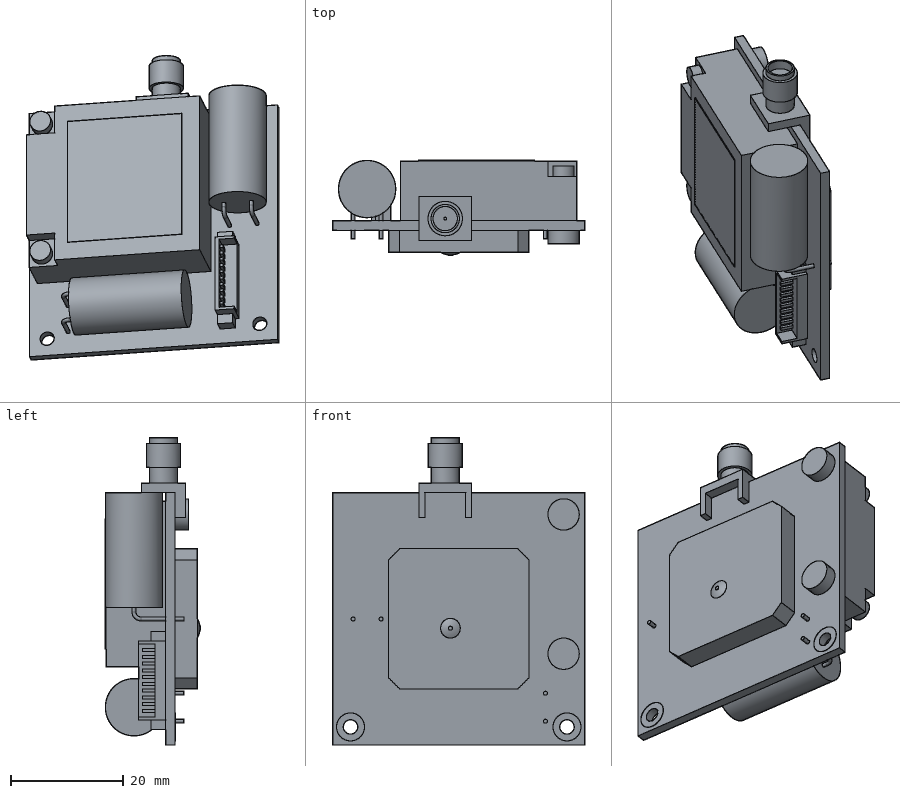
import cadquery as cq

BOARD_SIDE = 45.05
BOARD_THICKNESS = 1.7
HOLE_X = 19.3
HOLE_Z = 3.25
HOLE_DIAMETER = 2.5
PAD_DIAMETER = 5.0
PAD_HEIGHT = 0.05

ANTENNA_SIDE = 25.0
ANTENNA_THICKNESS = 3.95
ANTENNA_CORNER = 2.0
FEED_X = -1.5
FEED_Z = 20.85
SOLDER_DIAMETER = 3.5
SOLDER_HEIGHT = 0.5
FEED_PIN_DIAMETER = 0.7
FEED_PIN_HEIGHT = 0.55

MODULE_LEFT = -10.4
MODULE_RIGHT = 21.05
MODULE_BOTTOM = 13.95
MODULE_TOP = 43.5
MODULE_HEIGHT = 10.65
NOTCH_SIDE = 5.15
NOTCH_FLOOR = 7.9
LABEL_LEFT = -7.2
LABEL_WIDTH = 20.75
LABEL_MARGIN = 3.2
LABEL_THICKNESS = 0.15
SCREW_INSET = 2.35
SCREW_HEAD_DIAMETER = 3.8
SCREW_HEAD_HEIGHT = 1.85
NUT_DIAMETER = 5.6
NUT_HEIGHT = 2.4

HEADER_LEFT = -15.6
HEADER_RIGHT = -12.1
HEADER_CENTRE_Z = 11.5
HEADER_LENGTH = 14.05
HEADER_HEIGHT = 4.8
HEADER_WALL = 0.5
FLANGE_LEFT = -14.85
FLANGE_LENGTH = 17.55
FLANGE_HEIGHT = 2.6
SLOT_FLOOR = 1.9
SLOT_DEPTH = 2.75
CONTACT_COUNT = 10
CONTACT_PITCH = 1.2
CONTACT_WIDTH = 0.55
CONTACT_TOP = 4.15

CAPACITOR_DIAMETER = 10.25
CAPACITOR_LENGTH = 20.45
CAPACITOR_STANDOFF = 5.65
CAPACITOR_AXIS_Y = BOARD_THICKNESS + CAPACITOR_STANDOFF
LEAD_DIAMETER = 0.7
LEAD_PITCH = 5.0
LEAD_BEND_RADIUS = 1.25
LEAD_STRAIGHT = 0.8
LEAD_PROTRUSION = 1.55
CAPACITOR_PLACES = [(-16.35, 22.5, 0), (15.45, 6.75, -90)]

CONNECTOR_X = -2.4
MOUNT_PLATE_WIDTH = 9.45
MOUNT_PLATE_DEPTH = 7.9
MOUNT_PLATE_THICKNESS = 1.7
LEG_WIDTH = 1.1
LEG_DEPTH = 1.85
LEG_LENGTH = 4.45
CONNECTOR_TOP = 54.85
BARREL_DIAMETER = 5.05
COLLAR_DIAMETER = 6.15
COLLAR_BOTTOM = 49.55
COLLAR_TOP = 53.8
BORE_DIAMETER = 4.35
BORE_DEPTH = 1.7
SOCKET_DIAMETER = 0.5
SOCKET_DEPTH = 1.65


def box(x_range, y_range, z_range):
    """Box between the given limits."""
    (x0, x1), (y0, y1), (z0, z1) = x_range, y_range, z_range
    return cq.Workplane("XY").box(x1 - x0, y1 - y0, z1 - z0, centered=False).translate((x0, y0, z0))


def rod_y(x, z, diameter, y_start, y_end):
    """Round rod parallel to Y."""
    rod = cq.Solid.makeCylinder(diameter / 2, y_end - y_start, cq.Vector(x, y_start, z), cq.Vector(0, 1, 0))
    return cq.Workplane(obj=rod)


def rod_z(diameter, z_start, z_end):
    """Round rod on the Z axis."""
    return cq.Workplane("XY", origin=(0, 0, z_start)).circle(diameter / 2).extrude(z_end - z_start)


def centred(middle, length):
    """Limits of a length centred on a point."""
    return middle - length / 2, middle + length / 2


def make_antenna():
    half = ANTENNA_SIDE / 2
    middle_z = BOARD_SIDE / 2
    patch = box((-half, half), (-ANTENNA_THICKNESS, 0), (middle_z - half, middle_z + half))
    patch = patch.edges("|Y").chamfer(ANTENNA_CORNER)

    radius = SOLDER_DIAMETER / 2
    sphere_radius = (radius**2 + SOLDER_HEIGHT**2) / (2 * SOLDER_HEIGHT)
    dome_tip_y = -ANTENNA_THICKNESS - SOLDER_HEIGHT
    sphere_centre_y = dome_tip_y + sphere_radius
    sphere = cq.Workplane("XY").sphere(sphere_radius).translate((FEED_X, sphere_centre_y, FEED_Z))
    dome = sphere.intersect(rod_y(FEED_X, FEED_Z, SOLDER_DIAMETER, dome_tip_y, -ANTENNA_THICKNESS))
    pin = rod_y(FEED_X, FEED_Z, FEED_PIN_DIAMETER, -ANTENNA_THICKNESS - FEED_PIN_HEIGHT, -ANTENNA_THICKNESS)
    return patch.union(dome).union(pin)


def make_module():
    back = BOARD_THICKNESS + MODULE_HEIGHT
    notch_y = BOARD_THICKNESS + NOTCH_FLOOR
    module = box((MODULE_LEFT, MODULE_RIGHT), (BOARD_THICKNESS, back), (MODULE_BOTTOM, MODULE_TOP))
    notch_x_range = (MODULE_RIGHT - NOTCH_SIDE, MODULE_RIGHT)
    for notch_bottom in (MODULE_BOTTOM, MODULE_TOP - NOTCH_SIDE):
        module = module.cut(box(notch_x_range, (notch_y, back), (notch_bottom, notch_bottom + NOTCH_SIDE)))
    label = box(
        (LABEL_LEFT, LABEL_LEFT + LABEL_WIDTH),
        (back, back + LABEL_THICKNESS),
        (MODULE_BOTTOM + LABEL_MARGIN, MODULE_TOP - LABEL_MARGIN),
    )
    module = module.union(label)

    screw_x = MODULE_RIGHT - SCREW_INSET
    for screw_z in (MODULE_BOTTOM + SCREW_INSET, MODULE_TOP - SCREW_INSET):
        head = rod_y(screw_x, screw_z, SCREW_HEAD_DIAMETER, notch_y, notch_y + SCREW_HEAD_HEIGHT)
        nut = rod_y(screw_x, screw_z, NUT_DIAMETER, -NUT_HEIGHT, 0)
        module = module.union(head).union(nut)
    return module


def make_header():
    back = BOARD_THICKNESS + HEADER_HEIGHT
    flange_back = BOARD_THICKNESS + FLANGE_HEIGHT
    header_z_range = centred(HEADER_CENTRE_Z, HEADER_LENGTH)
    header = box((HEADER_LEFT, HEADER_RIGHT), (BOARD_THICKNESS, back), header_z_range)
    flange_z_range = centred(HEADER_CENTRE_Z, FLANGE_LENGTH)
    header = header.union(box((FLANGE_LEFT, HEADER_RIGHT), (BOARD_THICKNESS, flange_back), flange_z_range))

    floor = BOARD_THICKNESS + SLOT_FLOOR
    slot_end = HEADER_LEFT + SLOT_DEPTH
    slot_z_range = centred(HEADER_CENTRE_Z, HEADER_LENGTH - 2 * HEADER_WALL)
    header = header.cut(box((HEADER_LEFT, slot_end), (floor, back), slot_z_range))

    for index in range(CONTACT_COUNT):
        contact_z = HEADER_CENTRE_Z + (index - (CONTACT_COUNT - 1) / 2) * CONTACT_PITCH
        contact = box(
            (slot_end - CONTACT_WIDTH, slot_end),
            (floor, BOARD_THICKNESS + CONTACT_TOP),
            centred(contact_z, CONTACT_WIDTH),
        )
        header = header.union(contact)
    return header


def make_capacitor(x, z, turn):
    """Capacitor built upright with its lead pair at the origin, then turned and moved into place."""
    body_bottom = LEAD_BEND_RADIUS + LEAD_STRAIGHT
    capacitor = rod_z(CAPACITOR_DIAMETER, body_bottom, body_bottom + CAPACITOR_LENGTH)
    capacitor = capacitor.translate((0, CAPACITOR_AXIS_Y, 0))
    for lead_x in (-LEAD_PITCH / 2, LEAD_PITCH / 2):
        path = (
            cq.Workplane("YZ", origin=(lead_x, 0, 0))
            .moveTo(-LEAD_PROTRUSION, 0)
            .lineTo(CAPACITOR_AXIS_Y - LEAD_BEND_RADIUS, 0)
            .tangentArcPoint((LEAD_BEND_RADIUS, LEAD_BEND_RADIUS))
            .lineTo(CAPACITOR_AXIS_Y, body_bottom)
        )
        section = cq.Workplane("XZ", origin=(lead_x, -LEAD_PROTRUSION, 0)).circle(LEAD_DIAMETER / 2)
        capacitor = capacitor.union(section.sweep(path))
    return capacitor.rotate((0, 0, 0), (0, 1, 0), turn).translate((x, 0, z))


def make_board(capacitors):
    """Board with its antenna, module and header, drilled for mounting and for the capacitor leads."""
    half = BOARD_SIDE / 2
    board = box((-half, half), (0, BOARD_THICKNESS), (0, BOARD_SIDE))
    for part in (make_antenna(), make_module(), make_header()):
        board = board.union(part)
    for hole_x in (-HOLE_X, HOLE_X):
        board = board.union(rod_y(hole_x, HOLE_Z, PAD_DIAMETER, -PAD_HEIGHT, 0))
        board = board.cut(rod_y(hole_x, HOLE_Z, HOLE_DIAMETER, -PAD_HEIGHT, BOARD_THICKNESS))
    for capacitor in capacitors:
        board = board.cut(capacitor)
    return board


def make_connector():
    plate_top = BOARD_SIDE + MOUNT_PLATE_THICKNESS
    x_range = centred(CONNECTOR_X, MOUNT_PLATE_WIDTH)
    connector = box(x_range, (-LEG_DEPTH, MOUNT_PLATE_DEPTH - LEG_DEPTH), (BOARD_SIDE, plate_top))
    for leg_left in (x_range[0], x_range[1] - LEG_WIDTH):
        leg = box((leg_left, leg_left + LEG_WIDTH), (-LEG_DEPTH, 0), (BOARD_SIDE - LEG_LENGTH, BOARD_SIDE))
        connector = connector.union(leg)

    bore_floor = CONNECTOR_TOP - BORE_DEPTH
    barrel = rod_z(BARREL_DIAMETER, plate_top, CONNECTOR_TOP)
    barrel = barrel.union(rod_z(COLLAR_DIAMETER, COLLAR_BOTTOM, COLLAR_TOP))
    barrel = barrel.cut(rod_z(BORE_DIAMETER, bore_floor, CONNECTOR_TOP))
    barrel = barrel.cut(rod_z(SOCKET_DIAMETER, bore_floor - SOCKET_DEPTH, bore_floor))
    barrel_y = MOUNT_PLATE_DEPTH / 2 - LEG_DEPTH
    return connector.union(barrel.translate((CONNECTOR_X, barrel_y, 0)))


capacitors = [make_capacitor(x, z, turn) for x, z, turn in CAPACITOR_PLACES]
board = make_board(capacitors)
connector = make_connector()

bodies = [board, connector, *capacitors]
result = cq.Compound.makeCompound([body.solids().val() for body in bodies])